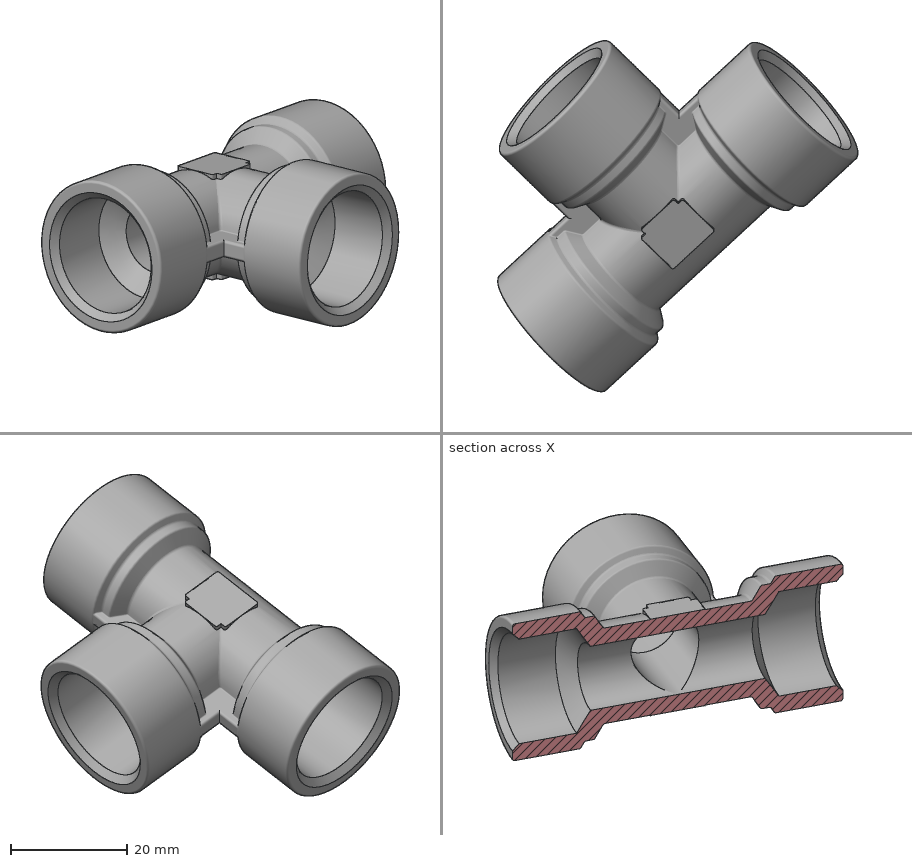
import cadquery as cq

arm_reach = 30.5
neck_radius = 9.45
collar_radius = 12.2
sleeve_radius = 27.0 / 2

neck_end = 13.65
collar_start = 15.4
collar_end = 17.15
sleeve_start = 17.95

bore_radius = 12.5 / 2
socket_radius = 20.5 / 2
mouth_radius = 11.45
mouth_depth = 1.2
socket_floor = 18.65
taper_length = 2.55

gusset_thickness = 3.0
gusset_inner = 5.5
gusset_outer = 13.4
gusset_reach = 18.1

pad_width = 7.9
pad_length = 10.1
pad_height = 9.5
pad_corner_radius = 0.35

edge_radius = 0.5
root_radius = 0.25
margin = 0.05


def revolved_about_x(profile):
    """Solid of revolution from (distance along X, radius) points."""
    return cq.Workplane("XY").polyline(profile).close().revolve(360, (0, 0, 0), (1, 0, 0))


def arm_outside():
    """Outer solid of one arm along +X: neck, conical steps, collar and sleeve."""
    arm = revolved_about_x([
        (0, 0),
        (0, neck_radius),
        (neck_end, neck_radius),
        (collar_start, collar_radius),
        (collar_end, collar_radius),
        (sleeve_start, sleeve_radius),
        (arm_reach, sleeve_radius),
        (arm_reach, 0),
    ])
    return arm.edges("%CIRCLE and (not <X)").fillet(edge_radius)


def arm_inside():
    """Bore of one arm along +X: passage, taper, pipe socket and mouth chamfer."""
    return revolved_about_x([
        (0, 0),
        (0, bore_radius),
        (socket_floor - taper_length, bore_radius),
        (socket_floor, socket_radius),
        (arm_reach - mouth_depth, socket_radius),
        (arm_reach, mouth_radius),
        (arm_reach, 0),
    ])


def on_all_arms(branch):
    """Join the branch shape with a copy on each end of the run."""
    front = branch.rotate((0, 0, 0), (0, 0, 1), -90)
    back = front.mirror("XZ")
    return branch.union(front).union(back)


def gusset():
    """L-shaped web in the +Y corner, with its free edges rounded."""
    web = (
        cq.Workplane("XY")
        .polyline([
            (gusset_inner, gusset_inner),
            (gusset_reach, gusset_inner),
            (gusset_reach, gusset_outer),
            (gusset_outer, gusset_outer),
            (gusset_outer, gusset_reach),
            (gusset_inner, gusset_reach),
        ])
        .close()
        .extrude(gusset_thickness / 2, both=True)
    )
    low = gusset_outer - margin
    high = gusset_reach + margin
    free_edges = cq.selectors.BoxSelector(
        (low, low, -gusset_thickness), (high, high, gusset_thickness), boundingbox=True
    )
    return web.edges(free_edges).edges("|X or |Y").fillet(edge_radius)


def pads():
    """Top and bottom pads: a rectangle along the run joined to one along the branch."""
    along_run = (
        cq.Workplane("XY")
        .rect(pad_width, pad_length)
        .extrude(pad_height, both=True)
        .edges("|Z")
        .fillet(pad_corner_radius)
    )
    along_branch = (
        cq.Workplane("XY")
        .center(pad_length / 4, 0)
        .rect(pad_length / 2, pad_width)
        .extrude(pad_height, both=True)
        .edges("|Z and >X")
        .fillet(pad_corner_radius)
    )
    return along_run.union(along_branch)


def corner_box(x_range, y_range, z_range, side):
    """Selector for edges centred in a box, mirrored to the given side of the branch."""
    x_low, x_high = x_range
    y_low, y_high = sorted(side * y for y in y_range)
    z_low, z_high = z_range
    return cq.selectors.BoxSelector((x_low, y_low, z_low), (x_high, y_high, z_high))


def round_neck_seam(body, side):
    """Round the inner corner where the branch neck meets the run neck."""
    span = (pad_width / 2, neck_radius)
    seam = corner_box(span, span, (-neck_radius, neck_radius), side)
    return body.edges("%ELLIPSE").edges(seam).fillet(edge_radius)


def round_gusset_root(body, side):
    """Round the root of a gusset where it meets the necks, cones and collars.

    The root is one smooth loop around the web, so rounding the stretch along the
    upper side of the branch carries on around both faces.
    """
    face_z = gusset_thickness / 2
    root = corner_box(
        (neck_end, sleeve_start),
        (neck_radius, gusset_outer - edge_radius - margin),
        (face_z - margin, face_z + margin),
        side,
    )
    return body.edges(root).fillet(root_radius)


body = on_all_arms(arm_outside()).union(gusset()).union(gusset().mirror("XZ")).union(pads())
for side in (1, -1):
    body = round_neck_seam(body, side)
    body = round_gusset_root(body, side)

result = body.cut(on_all_arms(arm_inside()))